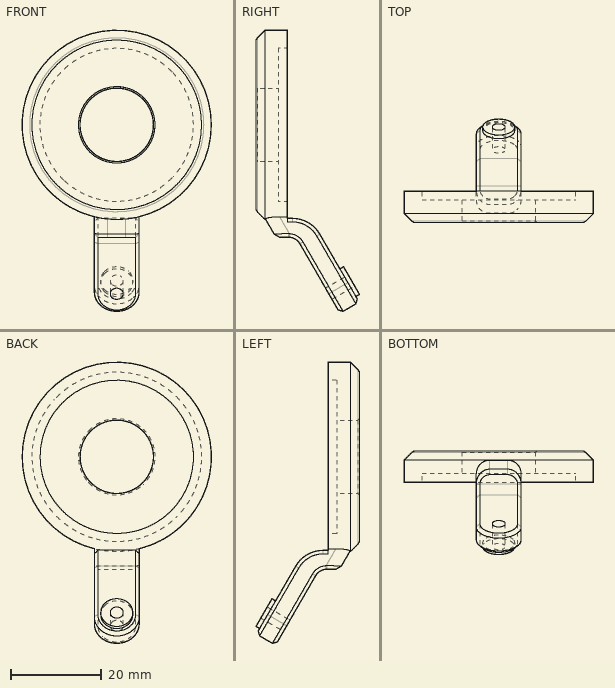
import cadquery as cq
import math

ring_diameter = 42.0
ring_radius = ring_diameter / 2
ring_thickness = 7.0
ring_chamfer = 1.7
front_break_width = 0.5
front_break_depth = 0.3
bore_radius = 8.1
bore_edge_break = 0.4
rear_rim_width = 4.0
rear_recess_depth = 2.0

arm_width = 10.0
arm_slope = 60.0
arm_thickness = 4.95
arm_chamfer = 0.8
outer_bend_radius = 7.05
inner_bend_radius = 2.8
arm_top_z = -20.7
arm_bottom_z = -25.0
neck_front_y = -4.95
neck_front_z = -20.85
neck_corner_radius = 3.0
neck_inner_z = -19.35
tip_radius = arm_width / 2

pivot_y = 13.4
pivot_z = -35.0
boss_radius = 3.55
boss_height = 0.95
hole_radius = 1.45

slope = math.radians(arm_slope)
down_y, down_z = math.cos(slope), -math.sin(slope)
rear_y, rear_z = math.sin(slope), math.cos(slope)
under_y = pivot_y - arm_thickness * rear_y
under_z = pivot_z - arm_thickness * rear_z

rear_plane = cq.Plane(origin=(0, pivot_y, pivot_z), xDir=(1, 0, 0), normal=(0, rear_y, rear_z))


def make_ring():
    chamfer_radius = ring_radius - ring_chamfer
    recess_radius = ring_radius - rear_rim_width
    front = -ring_thickness
    chamfer_front = front + front_break_depth
    half_section = [
        (bore_radius, -rear_recess_depth),
        (recess_radius, -rear_recess_depth),
        (recess_radius, 0),
        (ring_radius, 0),
        (ring_radius, chamfer_front + ring_chamfer),
        (chamfer_radius, chamfer_front),
        (chamfer_radius - front_break_width, front),
        (bore_radius + bore_edge_break, front),
        (bore_radius, front + bore_edge_break),
    ]
    return cq.Workplane("XY").polyline(half_section).close().revolve(360, (0, 0, 0), (0, 1, 0))


def bend(face_y, face_z, level_z, radius):
    """Start, middle and end of an arc joining a level face to a sloping face."""
    centre_z = level_z - radius
    end_z = centre_z + radius * rear_z
    end_y = face_y + (end_z - face_z) * down_y / down_z
    centre_y = end_y - radius * rear_y
    half_turn = slope / 2
    middle = (centre_y + radius * math.sin(half_turn), centre_z + radius * math.cos(half_turn))
    return (centre_y, level_z), middle, (end_y, end_z)


def slope_point(y, z, distance):
    return y + distance * down_y, z + distance * down_z


def neck_front_at(z):
    return neck_front_y + (z - neck_front_z) * down_y / down_z


def make_arm():
    outer_start, outer_middle, outer_end = bend(pivot_y, pivot_z, arm_top_z, outer_bend_radius)
    inner_start, inner_middle, inner_end = bend(under_y, under_z, arm_bottom_z, inner_bend_radius)
    arm = (
        cq.Workplane("YZ")
        .moveTo(0, neck_inner_z)
        .lineTo(0, arm_top_z)
        .lineTo(*outer_start)
        .threePointArc(outer_middle, outer_end)
        .lineTo(*slope_point(pivot_y, pivot_z, tip_radius))
        .lineTo(*slope_point(under_y, under_z, tip_radius))
        .lineTo(*inner_end)
        .threePointArc(inner_middle, inner_start)
        .lineTo(neck_front_at(arm_bottom_z), arm_bottom_z)
        .lineTo(neck_front_at(neck_inner_z), neck_inner_z)
        .close()
        .extrude(arm_width / 2, both=True)
    )

    neck_middle_z = (arm_bottom_z + neck_inner_z) / 2
    for side in (-1, 1):
        neck_corner = (side * arm_width / 2, neck_front_at(neck_middle_z), neck_middle_z)
        arm = arm.edges(cq.selectors.NearestToPointSelector(neck_corner)).fillet(neck_corner_radius)
    tip_blank = (
        cq.Workplane(rear_plane)
        .rect(arm_width, 2 * tip_radius)
        .extrude(-arm_thickness)
        .translate((0, tip_radius * down_y, tip_radius * down_z))
    )
    tip_round = cq.Workplane(rear_plane).circle(tip_radius).extrude(-arm_thickness)
    arm = arm.cut(tip_blank.cut(tip_round))

    for y, z in (outer_end, inner_end):
        edge_point = (arm_width / 2, *slope_point(y, z, tip_radius))
        arm = arm.edges(cq.selectors.NearestToPointSelector(edge_point)).chamfer(arm_chamfer)
    return arm


def make_boss():
    return cq.Workplane(rear_plane).circle(boss_radius).extrude(boss_height)


def make_pivot_hole():
    return (
        cq.Workplane(rear_plane)
        .workplane(offset=boss_height)
        .circle(hole_radius)
        .extrude(-(boss_height + arm_thickness))
    )


result = make_ring().union(make_arm()).union(make_boss()).cut(make_pivot_hole())